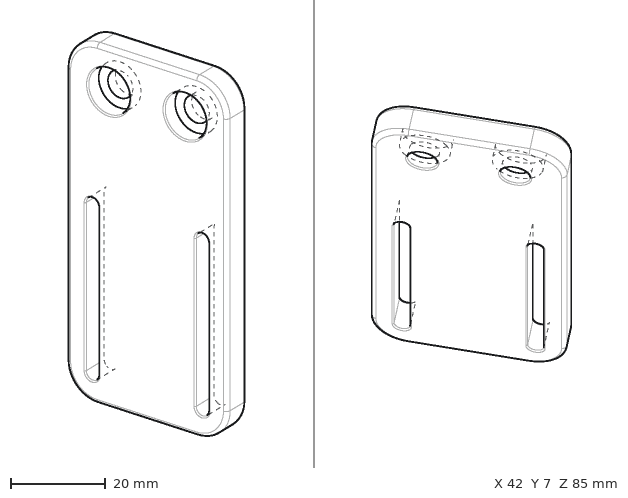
import cadquery as cq

width = 42.0
thickness = 7.0
height = 85.0
corner_radius = 8.0
edge_fillet = 1.0

pocket_diameter = 11.0
pocket_depth = 4.0
pocket_spacing = 20.0
pocket_top_offset = 10.4

back_hole_diameter = 6.5
web_thickness = 0.2

slot_width = 3.5
slot_length = 43.2
slot_spacing = 28.7
slot_centre_height = 26.7

mouth_fillet = 0.3

pocket_z = height / 2 - pocket_top_offset
slot_z = slot_centre_height - height / 2


def front_workplane(x, z):
    """Workplane on the front face at (x, z), with its normal pointing into the plate."""
    plane = cq.Plane(origin=(x, -thickness / 2, z), xDir=(1, 0, 0), normal=(0, 1, 0))
    return cq.Workplane(plane)


def make_plate():
    plate = cq.Workplane("XY").box(width, thickness, height)
    plate = plate.edges("|Y").fillet(corner_radius)
    return plate.faces("<Y or >Y").edges().fillet(edge_fillet)


def make_pocket(x):
    return front_workplane(x, pocket_z).circle(pocket_diameter / 2).extrude(pocket_depth)


def make_back_hole(x):
    floor_depth = pocket_depth + web_thickness
    start = front_workplane(x, pocket_z).workplane(offset=floor_depth)
    return start.circle(back_hole_diameter / 2).extrude(thickness - floor_depth)


def make_slot(x):
    return front_workplane(x, slot_z).slot2D(slot_length, slot_width, 90).extrude(thickness)


def round_mouths(body):
    """Round the rims of all openings in the front and back faces."""
    rims = []
    for face in body.faces("<Y or >Y").vals():
        for wire in face.innerWires():
            rims.extend(wire.Edges())
    return body.newObject(rims).fillet(mouth_fillet)


body = make_plate()
for side in (-1, 1):
    body = body.cut(make_pocket(side * pocket_spacing / 2))
    body = body.cut(make_back_hole(side * pocket_spacing / 2))
    body = body.cut(make_slot(side * slot_spacing / 2))

result = round_mouths(body)